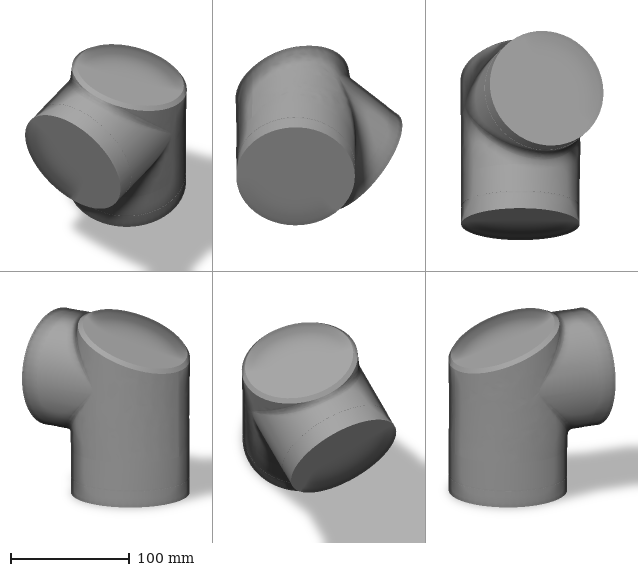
import cadquery as cq
import math

overall_height = 151.9

pipe_radius = 50.0
inlet_length = 38.7
outlet_length = 76.4
outlet_height = 98.5

blend_radius = 5.3

swell_radius = 50.3
swell_y = 0.3
swell_z = 91.1
tilt = math.radians(22.1)
rim_radius = 49.7
rim_y = 3.8

cap_radius = 46.3
cap_height = 3.0
rim_z = overall_height - cap_height * math.cos(tilt) - cap_radius * math.sin(tilt)

band_depth = 0.2
inlet_band = (13.8, 15.2)
outlet_band = (61.0, 74.9)

foot = cq.Vector(0, 0, 0)
outlet_start = cq.Vector(0, 0, outlet_height)
rim_center = cq.Vector(0, rim_y, rim_z)
up = cq.Vector(0, 0, 1)
outward = cq.Vector(0, -1, 0)


def tilted_up(angle):
    """Direction leaning from +Z toward +Y."""
    return cq.Vector(0, math.sin(angle), math.cos(angle))


def cylinder(radius, length, start, direction):
    return cq.Workplane(cq.Solid.makeCylinder(radius, length, start, direction))


def head():
    sections = [
        cq.Wire.makeCircle(pipe_radius, cq.Vector(0, 0, inlet_length), up),
        cq.Wire.makeCircle(swell_radius, cq.Vector(0, swell_y, swell_z), tilted_up(tilt / 2)),
        cq.Wire.makeCircle(rim_radius, rim_center, tilted_up(tilt)),
    ]
    return cq.Workplane(cq.Solid.makeLoft(sections))


def outlet():
    """Outlet pipe, with the part that would rise above the tilted rim cut away."""
    above_rim = cylinder(2 * rim_radius, overall_height, rim_center, tilted_up(tilt))
    return cylinder(pipe_radius, outlet_length, outlet_start, outward).cut(above_rim)


def cap():
    cone = cq.Solid.makeCone(rim_radius, cap_radius, cap_height, rim_center, tilted_up(tilt))
    return cq.Workplane(cone)


def is_junction(edge):
    """The junction is the only edge that runs around the outlet and is not a plain circle."""
    box = edge.BoundingBox()
    return box.zlen > pipe_radius and box.ymax < 0 and edge.geomType() != "CIRCLE"


def band(start, direction, limits):
    """Thin ring to cut from a pipe between two distances from its start."""
    near, far = limits
    base = start + direction * near
    outer = cylinder(2 * pipe_radius, far - near, base, direction)
    return outer.cut(cylinder(pipe_radius - band_depth, far - near, base, direction))


body = head().union(outlet())
junction = [edge for edge in body.edges().vals() if is_junction(edge)]
body = body.newObject(junction).fillet(blend_radius)
body = body.union(cap())
body = body.union(cylinder(pipe_radius, inlet_length, foot, up))
body = body.cut(band(foot, up, inlet_band))
result = body.cut(band(outlet_start, outward, outlet_band))